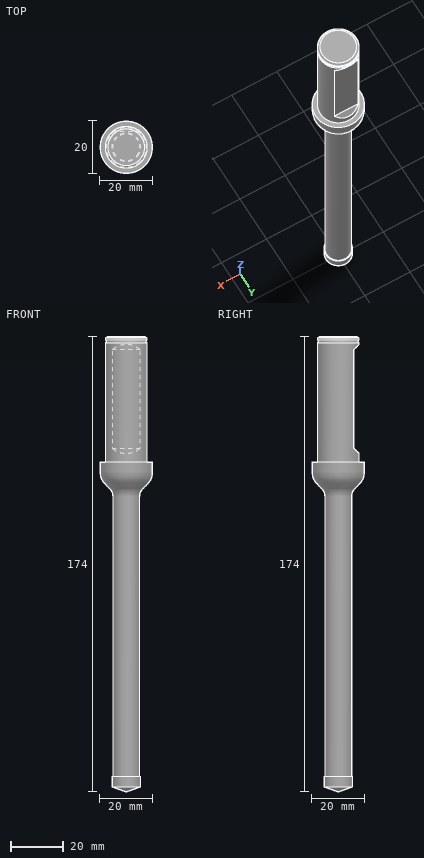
import cadquery as cq
import math

overall_length = 174.0

tip_radius = 10.9 / 2
tip_height = 6.0
point_angle = math.radians(140.0)

shaft_radius = 10.3 / 2
collar_radius = 20.0 / 2
collar_rim_height = 4.0
flare_height = 9.0
neck_angle = math.radians(40.0)
neck_fillet = 4.0

shank_radius = 15.99 / 2
shank_length = 48.0
end_chamfer_width = 1.0
end_chamfer_height = 0.6
end_land_height = 0.7
groove_depth = 0.4
groove_height = 1.1

flat_offset = 6.0
flat_length = 37.7
flat_center_below_top = 23.85

collar_top = overall_length - shank_length
rim_bottom = collar_top - collar_rim_height
flare_bottom = rim_bottom - flare_height


def make_tip():
    """Conical point below a short cylinder."""
    cone_height = tip_radius / math.tan(point_angle / 2)
    profile = (
        cq.Workplane("XZ")
        .lineTo(tip_radius, cone_height)
        .lineTo(tip_radius, tip_height)
        .lineTo(0, tip_height)
        .close()
    )
    return profile.revolve(360, (0, 0, 0), (0, 1, 0))


def make_flat_cutter():
    """Trapezoidal cutter that leaves the flat and its sloping ends."""
    middle = overall_length - flat_center_below_top
    half_flat = flat_length / 2
    cut_depth = collar_radius - flat_offset
    half_opening = half_flat + cut_depth
    return (
        cq.Workplane("YZ")
        .moveTo(flat_offset, middle - half_flat)
        .lineTo(collar_radius, middle - half_opening)
        .lineTo(collar_radius, middle + half_opening)
        .lineTo(flat_offset, middle + half_flat)
        .close()
        .extrude(collar_radius, both=True)
    )


def make_body():
    """Shaft, flared collar and grooved shank turned as one piece, then the flat is cut."""
    neck_center = shaft_radius + neck_fillet
    groove_top = overall_length - end_chamfer_height - end_land_height
    groove_bottom = groove_top - groove_height
    groove_middle = (groove_top + groove_bottom) / 2
    neck_middle = (
        neck_center - neck_fillet * math.cos(neck_angle / 2),
        flare_bottom + neck_fillet * math.sin(neck_angle / 2),
    )
    neck_end = (
        neck_center - neck_fillet * math.cos(neck_angle),
        flare_bottom + neck_fillet * math.sin(neck_angle),
    )
    flare_direction = (math.sin(neck_angle), math.cos(neck_angle))
    rim_direction = (0, 1)
    profile = (
        cq.Workplane("XZ")
        .moveTo(0, tip_height)
        .lineTo(shaft_radius, tip_height)
        .lineTo(shaft_radius, flare_bottom)
        .threePointArc(neck_middle, neck_end)
        .spline([neck_end, (collar_radius, rim_bottom)], tangents=[flare_direction, rim_direction])
        .lineTo(collar_radius, collar_top)
        .lineTo(shank_radius, collar_top)
        .lineTo(shank_radius, groove_bottom)
        .threePointArc((shank_radius - groove_depth, groove_middle), (shank_radius, groove_top))
        .lineTo(shank_radius, overall_length - end_chamfer_height)
        .lineTo(shank_radius - end_chamfer_width, overall_length)
        .lineTo(0, overall_length)
        .close()
    )
    turned = profile.revolve(360, (0, 0, 0), (0, 1, 0))
    return turned.cut(make_flat_cutter())


tip = make_tip()
body = make_body()

result = cq.Compound.makeCompound([body.val(), tip.val()])